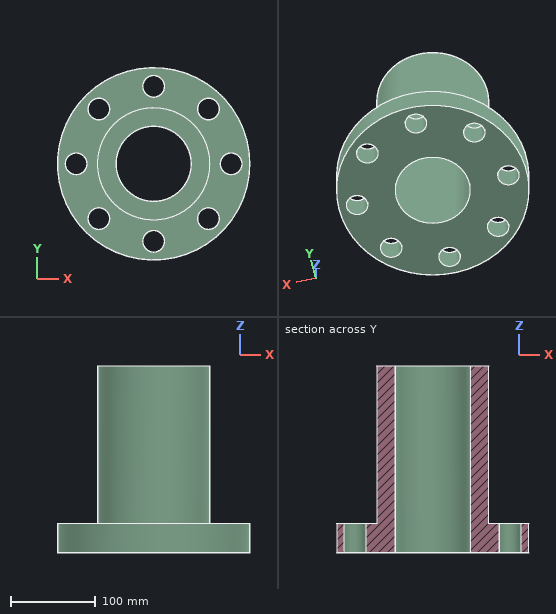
import cadquery as cq

flange_diameter = 228.5
flange_thickness = 35.2

overall_height = 222.2
neck_diameter = 133.3
bore_diameter = 89.0

bolt_hole_count = 8
bolt_hole_diameter = 25.4
bolt_circle_diameter = 184.0


def make_body():
    """Round flange standing on Z = 0 with a plain cylindrical neck above it."""
    flange = cq.Workplane("XY").circle(flange_diameter / 2).extrude(flange_thickness)
    neck = cq.Workplane("XY").circle(neck_diameter / 2).extrude(overall_height)
    return flange.union(neck)


def make_bore():
    """Cutter for the bore running the full height of the part."""
    return cq.Workplane("XY").circle(bore_diameter / 2).extrude(overall_height)


def make_bolt_holes():
    """Cutter for the ring of bolt holes through the flange, the first one on +X."""
    return (
        cq.Workplane("XY")
        .polarArray(bolt_circle_diameter / 2, 0, 360, bolt_hole_count)
        .circle(bolt_hole_diameter / 2)
        .extrude(flange_thickness)
    )


result = make_body().cut(make_bore()).cut(make_bolt_holes())